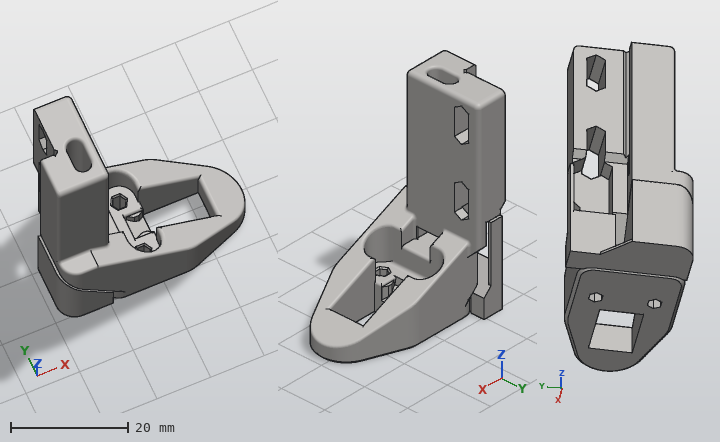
import cadquery as cq
import math

overall_length = 37.27
overall_width = 21.04
overall_height = 43.37
far_reach = 100.0
pick_margin = 0.1

foot_half_width = 9.33
foot_left = 0.45
shelf_height = 16.8
slope_start_x = 6.4
slope_end_height = 3.2
foot_slope = (shelf_height - slope_end_height) / (overall_length - slope_start_x)
nose_radius = 6.2
nose_x = overall_length - nose_radius
shoulder_x = 22.9
shoulder_radius = nose_radius
foot_corner_radius = 3.0
base_left = 8.5
base_corner_radius = 2.8
bed_chamfer = 0.6
rim_fillet = 0.5
undercut_sum = 13.95

tower_right = 10.2
tower_front = -5.75
tower_back = 11.35
step_y = 1.8
mount_face_x = 3.4
mount_face_bottom = 21.2
lower_face_x = 4.6
tower_fillet = 1.0
tower_left_fillet = 0.55
foot_blend = 0.6
relief_x = 3.15
relief_y = 2.2
relief_half_diagonal = 0.72

slot_y = 7.43
slot_half_width = 1.63
slot_length = 4.0
slot_heights = (22.65, 37.95)
pocket_front = 4.38
pocket_middle = 7.85
pocket_eave_height = 19.05
pocket_depth_x = 8.2
tan_30 = math.tan(math.radians(30))

gusset_height = 12.3

duct_x = 6.85
duct_width = 3.0
duct_length = 6.1
duct_floor = 10.5
duct_rim = 0.6
channel_half_width = 3.3
channel_left = tower_right - tower_fillet
tunnel_height = 2.5

window_left = 19.9
window_right = 30.8
window_half_width = 3.8
opening_rim = 0.6
seat_x = 16.6
seat_radius = 3.0
seat_left = seat_x - seat_radius
seat_floor = 6.0
screw_spacing = 10.2
screw_hex = 2.6
screw_hex_rim = 0.3
notch_left = 16.2
notch_half_width = 2.2
notch_rim = 0.45
notch_depth = 1.5
notch_draft = 0.3
bump_height = 0.6
bump_base = (16.7, 19.7)
bump_tip = (17.9, 18.8)
seat_floor_fillet = 0.7
ledge_fillet = 0.5

wedge_sum = 13.3
block_sum = 13.45
support_gap = 0.35
support_right = 9.15
support_corner_radius = 3.4
block_left = 4.55
block_front = 3.85
support_back = overall_width - foot_half_width
fin_right = 7.4
fin_thickness = 0.6
fin_height = 18.8
web_thickness = 0.5
web_corner = (5.15, 7.1)


def box(x0, x1, y0, y1, z0, z1):
    return cq.Workplane("XY").box(x1 - x0, y1 - y0, z1 - z0, centered=False).translate((x0, y0, z0))


def below_45(plane_sum):
    """Everything under the 45 degree plane x + z = plane_sum."""
    tip = plane_sum + far_reach
    profile = [(-far_reach, -far_reach), (tip, -far_reach), (-far_reach, tip)]
    return cq.Workplane("XZ").polyline(profile).close().extrude(far_reach, both=True)


def foot_outline(left, corner_radius, grow=0.0):
    """Plan of the foot: rounded corners on the left, tapering tangentially to a round nose."""
    half = foot_half_width + grow
    nose = nose_radius + grow
    shoulder = shoulder_radius + grow
    shoulder_y = half - shoulder
    dx = nose_x - shoulder_x
    distance = math.hypot(dx, shoulder_y)
    angle = math.atan2(shoulder_y, dx) + math.asin((shoulder - nose) / distance)

    def on_arc(cx, cy, radius, turn):
        return (cx + radius * math.sin(turn), cy + radius * math.cos(turn))

    sx, sy = on_arc(shoulder_x, shoulder_y, shoulder, angle)
    mx, my = on_arc(shoulder_x, shoulder_y, shoulder, angle / 2)
    nx, ny = on_arc(nose_x, 0, nose, angle)
    outline = (
        cq.Workplane("XY").moveTo(left, -half).lineTo(shoulder_x, -half)
        .threePointArc((mx, -my), (sx, -sy)).lineTo(nx, -ny)
        .threePointArc((nose_x + nose, 0), (nx, ny)).lineTo(sx, sy)
        .threePointArc((mx, my), (shoulder_x, half)).lineTo(left, half).close()
    )
    return outline.extrude(overall_height).edges("|Z and <X").fillet(corner_radius)


def above_foot():
    """Space above the foot's level shelf and its slope towards the nose."""
    slope_end_x = slope_start_x + far_reach
    profile = [
        (-far_reach, shelf_height), (slope_start_x, shelf_height),
        (slope_end_x, shelf_height - far_reach * foot_slope), (slope_end_x, far_reach), (-far_reach, far_reach),
    ]
    return cq.Workplane("XZ").polyline(profile).close().extrude(far_reach, both=True)


def sensor_seat():
    """Round-ended pocket whose left wall meets the floor in a hollow fillet."""
    seat = (
        cq.Workplane("XY", origin=(seat_x, 0, seat_floor))
        .slot2D(screw_spacing + 2 * seat_radius, 2 * seat_radius, 90).extrude(far_reach)
    )
    fillet_x = seat_left + seat_floor_fillet
    fillet_z = seat_floor + seat_floor_fillet
    corner = box(seat_left, fillet_x, -screw_spacing, screw_spacing, seat_floor, fillet_z)
    hollow = (
        cq.Workplane("XZ", origin=(fillet_x, 0, fillet_z))
        .circle(seat_floor_fillet).extrude(screw_spacing, both=True)
    )
    return seat.cut(corner.cut(hollow))


def make_foot():
    foot = foot_outline(foot_left, foot_corner_radius).cut(above_foot())
    foot = foot.edges("(not (|Z or |Y or <Z)) or (|Y and >Z and <X)").fillet(rim_fillet)

    window = box(window_left, window_right, -window_half_width, window_half_width, 0, far_reach)
    neck = box(seat_x, window_left, -window_half_width, window_half_width, seat_floor, far_reach)
    channel = box(channel_left, seat_x, -channel_half_width, channel_half_width, duct_floor, far_reach)
    foot = foot.cut(window).cut(sensor_seat()).cut(neck).cut(channel)
    slope_face = foot.faces(cq.selectors.ParallelDirSelector(cq.Vector(foot_slope, 0, 1)))
    rim = slope_face.val().innerWires()[0]
    foot = foot.newObject(rim.Edges()).fillet(opening_rim)

    foot = foot.edges(cq.selectors.NearestToPointSelector((seat_left, 0, duct_floor))).fillet(opening_rim)
    return foot.edges(cq.selectors.NearestToPointSelector((window_left, 0, seat_floor))).fillet(ledge_fillet)


def make_tower():
    step = box(foot_left, tower_right, tower_front, step_y, 0, overall_height)
    mount = box(mount_face_x, tower_right, step_y, tower_back, 0, overall_height)
    tower = step.union(mount).edges("|Z and >X").fillet(tower_fillet)
    tower = tower.faces(">Z").edges(">X or >Y or <Y").fillet(tower_fillet)
    tower = tower.faces("<X").edges("<Y or >Z").fillet(tower_left_fillet)
    relief = (
        cq.Workplane("XY").center(relief_x, relief_y)
        .polygon(4, 2 * relief_half_diagonal).extrude(overall_height)
    )
    return tower.cut(relief)


def mount_face_recess():
    """Clearance behind the mounting face, with a 45 degree roof, open to the left."""
    roof_end = mount_face_bottom - (lower_face_x - mount_face_x)
    profile = [
        (-far_reach, 0), (lower_face_x, 0), (lower_face_x, roof_end),
        (mount_face_x, mount_face_bottom), (-far_reach, mount_face_bottom),
    ]
    return cq.Workplane("XZ", origin=(0, step_y, 0)).polyline(profile).close().extrude(-far_reach)


def gusset_underside():
    """Space under the 45 degree gusset that carries the tower's overhang beyond the foot."""
    profile = [
        (foot_half_width, 0), (foot_half_width, gusset_height),
        (foot_half_width + far_reach, gusset_height + far_reach), (foot_half_width + far_reach, 0),
    ]
    return cq.Workplane("YZ").polyline(profile).close().extrude(far_reach)


def nut_pocket():
    """Pocket with a 30 degree gable roof, open to the left, below and at the back."""
    ridge_height = pocket_eave_height + (pocket_middle - pocket_front) * tan_30
    profile = [
        (pocket_front, 0), (pocket_front, pocket_eave_height), (pocket_middle, ridge_height),
        (support_back, ridge_height - (support_back - pocket_middle) * tan_30), (support_back, 0),
    ]
    return cq.Workplane("YZ").polyline(profile).close().extrude(pocket_depth_x)


def mounting_slot(middle_height):
    """Upright slot with pointed ends, through the tower along X."""
    straight = (slot_length / 2) + slot_half_width * tan_30
    tip = straight + slot_half_width * tan_30
    profile = [
        (-slot_half_width, -straight), (0, -tip), (slot_half_width, -straight),
        (slot_half_width, straight), (0, tip), (-slot_half_width, straight),
    ]
    plane = cq.Workplane("YZ", origin=(0, slot_y, middle_height))
    return plane.polyline(profile).close().extrude(far_reach)


def cut_cable_duct(body):
    """Upright duct with a rounded mouth, turning into a tunnel that leads to the open channel."""
    duct = (
        cq.Workplane("XY", origin=(duct_x, 0, duct_floor))
        .slot2D(duct_length, duct_width, 90).extrude(overall_height)
    )
    tunnel = box(duct_x, tower_right, -duct_length / 2, duct_length / 2, duct_floor, duct_floor + tunnel_height)
    body = body.cut(duct)
    mouth = body.faces(">Z").val().innerWires()[0]
    body = body.newObject(mouth.Edges()).fillet(duct_rim)
    return body.cut(tunnel)


def screw_hole(y):
    """Six-sided through hole with a chamfered mouth at the seat floor."""
    start = cq.Workplane("XY", origin=(seat_x, y, seat_floor))
    hole = start.polygon(6, screw_hex).extrude(-seat_floor)
    mouth = (
        start.polygon(6, screw_hex + 2 * screw_hex_rim)
        .workplane(offset=-screw_hex_rim).polygon(6, screw_hex).loft()
    )
    return hole.union(mouth)


def sensor_notch():
    """Notch between the screws; its floor falls towards the window and each side wall carries a bump."""
    left_floor = seat_floor - notch_depth
    right_floor = left_floor - foot_slope * (window_left - notch_left)
    profile = [
        (notch_left, seat_floor), (window_left, seat_floor),
        (window_left, right_floor), (notch_left + notch_draft, left_floor),
    ]
    notch = cq.Workplane("XZ").polyline(profile).close().extrude(notch_half_width, both=True)
    wall = notch_half_width
    tip = wall - bump_height
    bump_plan = [(bump_base[0], wall), (bump_tip[0], tip), (bump_tip[1], tip), (bump_base[1], wall)]
    bump_top = seat_floor - notch_rim
    bump = cq.Workplane("XY").polyline(bump_plan).close().extrude(bump_top)
    flare = (
        box(notch_left, window_left, wall, wall + notch_rim, seat_floor - notch_rim, seat_floor)
        .cut(cq.Workplane("YZ", origin=(0, wall + notch_rim, seat_floor - notch_rim))
             .circle(notch_rim).extrude(far_reach))
    )
    for added, left_standing in ((flare, bump), (flare.mirror("XZ"), bump.mirror("XZ"))):
        notch = notch.cut(left_standing).union(added)
    return notch


def blend_tower_into_foot(body):
    """Hollow fillets where the tower's front and right faces meet the top of the foot."""
    front = cq.selectors.BoxSelector(
        (foot_left + tower_fillet, tower_front - pick_margin, shelf_height / 2),
        (tower_right + pick_margin, -channel_half_width - opening_rim, shelf_height + pick_margin))
    back = cq.selectors.BoxSelector(
        (tower_right - pick_margin, channel_half_width + opening_rim, shelf_height / 2),
        (tower_right + pick_margin, foot_half_width - rim_fillet, shelf_height + pick_margin))
    return body.edges(front + back).fillet(foot_blend)


def make_bracket():
    """Foot and tower in one piece, undercut at 45 degrees on the left."""
    body = blend_tower_into_foot(make_foot().union(make_tower()))
    base = foot_outline(base_left, base_corner_radius).faces("<Z").chamfer(bed_chamfer)
    bed_slab = box(-far_reach, far_reach, -far_reach, far_reach, 0, bed_chamfer)
    body = body.cut(below_45(undercut_sum).union(bed_slab).cut(base))
    body = body.cut(mount_face_recess()).cut(gusset_underside()).cut(nut_pocket())
    for middle_height in slot_heights:
        body = body.cut(mounting_slot(middle_height))
    body = cut_cable_duct(body)
    for side in (-1, 1):
        body = body.cut(screw_hole(side * screw_spacing / 2))
    return body.cut(sensor_notch())


def make_support():
    """Break-away print support: a wedge, a block with a tall fin, and a web joining them on the bed."""
    keep_out = foot_outline(base_left, base_corner_radius, support_gap)
    wedge = box(0, support_right, -foot_half_width, step_y, 0, far_reach)
    wedge = wedge.edges("|Z and <X and <Y").fillet(support_corner_radius)
    block = box(block_left, support_right, block_front, support_back, 0, far_reach)
    fin = box(block_left, fin_right, support_back - fin_thickness, support_back, 0, fin_height)
    web_outline = [(0, step_y), web_corner, (support_right, web_corner[1]), (support_right, 0), (0, 0)]
    web = cq.Workplane("XY").polyline(web_outline).close().extrude(web_thickness)
    wedge = wedge.intersect(below_45(wedge_sum))
    block = block.intersect(below_45(block_sum))
    return wedge.union(block).union(fin).union(web).cut(keep_out)


bracket = make_bracket()
support = make_support()

result = cq.Compound.makeCompound([bracket.val(), support.val()])